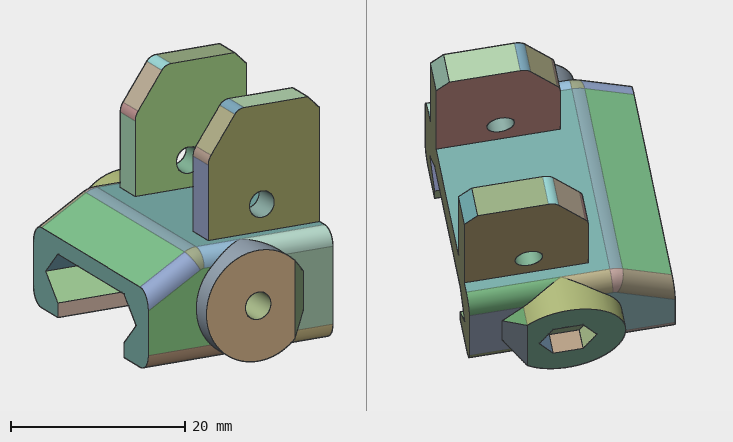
import cadquery as cq
import math

overall_width = 32.98
body_width = 28.03
body_length = 24.0
body_height = 13.45
edge_radius = 2.0
slope_length = 6.45
slope_angle = math.radians(30)
slope_blend_radius = 3.0

slot_half_opening = 8.05
slot_depth_half_width = 11.0
slot_top = 7.72
slot_flank = slot_depth_half_width - slot_half_opening
slot_apex_height = slot_top - slot_flank
slot_lip_height = slot_apex_height - slot_flank

boss_radius = body_height / 2
boss_y = 12.95
boss_z = body_height / 2
boss_projection = (overall_width - body_width) / 2
bolt_diameter = 3.3
nut_pocket_height = 5.6
nut_pocket_width = 6.73
nut_depth = boss_projection

total_height = 28.82
lug_inner_x = 7.05
lug_thickness = 3.7
lug_length = 14.48
lug_rear_chamfer = 1.55
lug_slope_run = 3.9
lug_slope_drop = 5.6
lug_top_radius = 1.5
lug_front_radius = 2.0
pin_diameter = 3.2
pin_from_rear = 7.52
pin_above_body = 3.3


def make_body():
    """Block with a sloped front top and rounded lengthwise edges."""
    slope_drop = slope_length * math.tan(slope_angle)
    body = (
        cq.Workplane("YZ")
        .moveTo(0, 0)
        .lineTo(body_length, 0)
        .lineTo(body_length, body_height)
        .lineTo(slope_length, body_height)
        .lineTo(0, body_height - slope_drop)
        .close()
        .extrude(body_width / 2, both=True)
    )
    slope_crest = cq.selectors.NearestToPointSelector((0, slope_length, body_height))
    body = body.edges(slope_crest).fillet(slope_blend_radius)
    side_edges = body.faces("<X or >X").edges("not |Z")
    return side_edges.fillet(edge_radius)


def make_rail_slot():
    """Dovetail-shaped slot running the full length and open underneath."""
    right_side = [
        (slot_half_opening, 0),
        (slot_half_opening, slot_lip_height),
        (slot_depth_half_width, slot_apex_height),
        (slot_half_opening, slot_top),
    ]
    left_side = [(-x, z) for x, z in reversed(right_side)]
    return cq.Workplane("XZ").polyline(right_side + left_side).close().extrude(-body_length)


def make_boss():
    """Right-hand boss: a disc with a 45 degree tail whose rear is bevelled at 45 degrees."""
    inner_x = body_width / 2 - edge_radius
    outer_x = overall_width / 2
    tangent = boss_radius * math.sin(math.radians(45))
    tail_end = tangent + boss_projection
    tail_half_height = tangent - boss_projection
    blank = (
        cq.Workplane("YZ", origin=(inner_x, boss_y, boss_z))
        .moveTo(tangent, tangent)
        .threePointArc((-boss_radius, 0), (tangent, -tangent))
        .lineTo(tail_end, -tail_half_height)
        .lineTo(tail_end, tail_half_height)
        .close()
        .extrude(outer_x - inner_x)
    )
    bevel = (
        cq.Workplane("XY")
        .moveTo(outer_x, boss_y + tangent)
        .lineTo(outer_x, boss_y + tail_end)
        .lineTo(body_width / 2, boss_y + tail_end)
        .close()
        .extrude(body_height)
    )
    return blank.cut(bevel)


def make_lug():
    """Right-hand lug with a chamfered rear corner, a blended front slope and a pin hole."""
    front_y = body_length - lug_length
    slope_top_y = front_y + lug_slope_run
    slope_base_z = total_height - lug_slope_drop
    lug = (
        cq.Workplane("YZ", origin=(lug_inner_x, 0, 0))
        .moveTo(front_y, slot_top)
        .lineTo(body_length, slot_top)
        .lineTo(body_length, total_height - lug_rear_chamfer)
        .lineTo(body_length - lug_rear_chamfer, total_height)
        .lineTo(slope_top_y, total_height)
        .lineTo(front_y, slope_base_z)
        .close()
        .extrude(lug_thickness)
    )
    blends = [(slope_top_y, total_height, lug_top_radius), (front_y, slope_base_z, lug_front_radius)]
    for y, z, radius in blends:
        corner = cq.selectors.NearestToPointSelector((lug_inner_x + lug_thickness / 2, y, z))
        lug = lug.edges(corner).fillet(radius)
    pin_hole = (
        cq.Workplane("YZ", origin=(lug_inner_x, body_length - pin_from_rear, body_height + pin_above_body))
        .circle(pin_diameter / 2)
        .extrude(lug_thickness)
    )
    return lug.cut(pin_hole)


def make_nut_pocket():
    """Slightly elongated hexagon with 120 degree corners, sunk into the left boss."""
    half_height = nut_pocket_height / 2
    half_width = nut_pocket_width / 2
    half_flat = half_width - half_height / math.tan(math.radians(60))
    outline = [
        (half_width, 0),
        (half_flat, half_height),
        (-half_flat, half_height),
        (-half_width, 0),
        (-half_flat, -half_height),
        (half_flat, -half_height),
    ]
    face_plane = cq.Workplane("YZ", origin=(-overall_width / 2, boss_y, boss_z))
    return face_plane.polyline(outline).close().extrude(nut_depth)


result = make_body()
for feature in (make_boss(), make_lug()):
    result = result.union(feature).union(feature.mirror("YZ"))
result = result.cut(make_rail_slot())

bolt_start = cq.Workplane("YZ", origin=(-overall_width / 2, boss_y, boss_z))
bolt_hole = bolt_start.circle(bolt_diameter / 2).extrude(overall_width)
result = result.cut(bolt_hole).cut(make_nut_pocket())